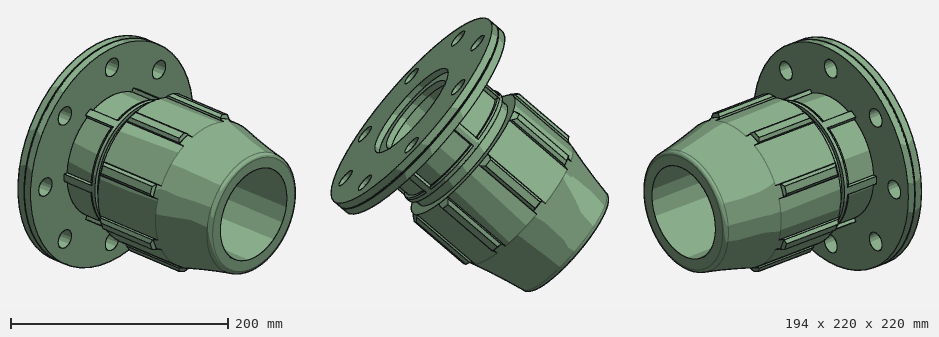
import cadquery as cq
import math

flange_dia = 220.0
flange_thickness = 16.0
groove_width = 0.9
groove_depth = 2.2

bolt_count = 8
bolt_hole_dia = 18.0
bolt_circle_dia = 180.0

recess_dia = 100.0
recess_depth = 5.7
lip_bore_dia = 81.0
lip_end = 11.9
socket_dia = 90.0

neck_dia = 121.7
collar_dia = 129.1
collar_start = 48.8
collar_end = 54.5
collar_chamfer_length = 2.0
collar_chamfer_height = 0.7
neck_rib_count = 6
neck_rib_width = 7.7

nut_start = 64.5
barrel_radius = 71.0
nose_mid_x = 169.8
nose_mid_radius = 63.0
nose_tip_x = 190.0
nose_tip_radius = 59.0
total_length = 194.0
end_face_radius = 55.5

grip_count = 8
grip_end = 132.0
grip_radius = 76.1
grip_shoulder_radius = 72.8
grip_top_width = 7.5
grip_width = 12.8
grip_lead_length = 4.5
grip_lead_height = 4.8
grip_tail_length = 1.3
grip_tail_radius = 72.4

embed_radius = 66.0
clearance = 2.2


def cylinder(diameter, start, end):
    """Solid cylinder along X between two positions."""
    return cq.Workplane("YZ", origin=(start, 0, 0)).circle(diameter / 2).extrude(end - start)


def tube(outer_dia, inner_dia, start, end):
    """Hollow cylinder along X between two positions."""
    return cylinder(outer_dia, start, end).cut(cylinder(inner_dia, start, end))


def revolve_about_x(outline):
    """Turn a closed outline of (X, radius) points about the X axis."""
    return outline.close().revolve(360, (0, 0, 0), (1, 0, 0))


def spaced_about_x(feature, count, first_angle=0):
    """Union of equally spaced copies of a feature turned about the X axis."""
    copies = cq.Workplane("XY")
    for i in range(count):
        angle = first_angle + i * 360 / count
        copies = copies.add(feature.rotate((0, 0, 0), (1, 0, 0), angle))
    return copies.combine()


def make_flange():
    groove_start = (flange_thickness - groove_width) / 2
    groove = tube(
        flange_dia + clearance,
        flange_dia - 2 * groove_depth,
        groove_start,
        groove_start + groove_width,
    )
    return cylinder(flange_dia, 0, flange_thickness).cut(groove)


def make_neck():
    """Collar-sized cylinder with the pockets between the ribs cut down to the neck."""
    collar_radius = collar_dia / 2
    neck_radius = neck_dia / 2
    pockets = revolve_about_x(
        cq.Workplane("XY")
        .moveTo(0, neck_radius)
        .lineTo(collar_start, neck_radius)
        .lineTo(collar_start, collar_radius - collar_chamfer_height)
        .lineTo(collar_start + collar_chamfer_length, collar_radius)
        .lineTo(collar_start + collar_chamfer_length, collar_radius + clearance)
        .lineTo(0, collar_radius + clearance)
    )
    rib = cq.Workplane("XY").box(
        collar_end, collar_radius + 2 * clearance, neck_rib_width, centered=(False, False, True)
    )
    pockets = pockets.cut(spaced_about_x(rib, neck_rib_count))
    shaft = cylinder(neck_dia, 0, nut_start)
    return cylinder(collar_dia, 0, collar_end).cut(pockets).union(shaft)


def make_nose():
    """Curved nose that starts at the rear end of the grip ribs."""
    diagonal = math.sqrt(0.5)
    corner_mid = (
        nose_tip_x + diagonal * (total_length - nose_tip_x),
        end_face_radius + diagonal * (nose_tip_radius - end_face_radius),
    )
    return revolve_about_x(
        cq.Workplane("XY")
        .moveTo(grip_end, 0)
        .lineTo(grip_end, grip_tail_radius)
        .threePointArc((nose_mid_x, nose_mid_radius), (nose_tip_x, nose_tip_radius))
        .threePointArc(corner_mid, (total_length, end_face_radius))
        .lineTo(total_length, 0)
    )


def make_grip_rib():
    """One grip rib along +Z, from the front of the nut to the nose."""
    half_top = grip_top_width / 2
    half_width = grip_width / 2
    cross_section = (
        cq.Workplane("YZ", origin=(nut_start, 0, 0))
        .moveTo(-half_width, embed_radius)
        .lineTo(-half_width, grip_shoulder_radius)
        .lineTo(-half_top, grip_radius)
        .lineTo(half_top, grip_radius)
        .lineTo(half_width, grip_shoulder_radius)
        .lineTo(half_width, embed_radius)
        .close()
        .extrude(grip_end - nut_start)
    )
    side_shape = (
        cq.Workplane("XZ")
        .moveTo(nut_start, embed_radius)
        .lineTo(nut_start, grip_radius - grip_lead_height)
        .lineTo(nut_start + grip_lead_length, grip_radius)
        .lineTo(grip_end - grip_tail_length, grip_radius)
        .lineTo(grip_end, grip_tail_radius)
        .lineTo(grip_end, embed_radius)
        .close()
        .extrude(half_width, both=True)
    )
    return cross_section.intersect(side_shape)


def make_nut():
    """Barrel, nose and grip ribs; the nose runs up to each rib above the barrel surface."""
    rib_track = cq.Workplane("XY").box(
        nose_mid_x, grip_width, grip_radius + 2 * clearance, centered=(False, True, False)
    )
    rib_angle = 180 / grip_count
    trim = tube(2 * grip_radius, 2 * barrel_radius, nut_start, nose_mid_x)
    trim = trim.cut(spaced_about_x(rib_track, grip_count, rib_angle))
    barrel = cylinder(2 * barrel_radius, nut_start, grip_end)
    ribs = spaced_about_x(make_grip_rib(), grip_count, rib_angle)
    return barrel.union(make_nose().cut(trim)).union(ribs)


def make_bolt_holes():
    hole = cylinder(bolt_hole_dia, 0, flange_thickness).translate((0, 0, bolt_circle_dia / 2))
    return spaced_about_x(hole, bolt_count)


def make_bore():
    recess = cylinder(recess_dia, 0, recess_depth)
    lip_bore = cylinder(lip_bore_dia, 0, lip_end)
    socket = cylinder(socket_dia, lip_end, total_length)
    return recess.union(lip_bore).union(socket)


body = make_flange().union(make_neck()).union(make_nut())
result = body.cut(make_bolt_holes()).cut(make_bore())